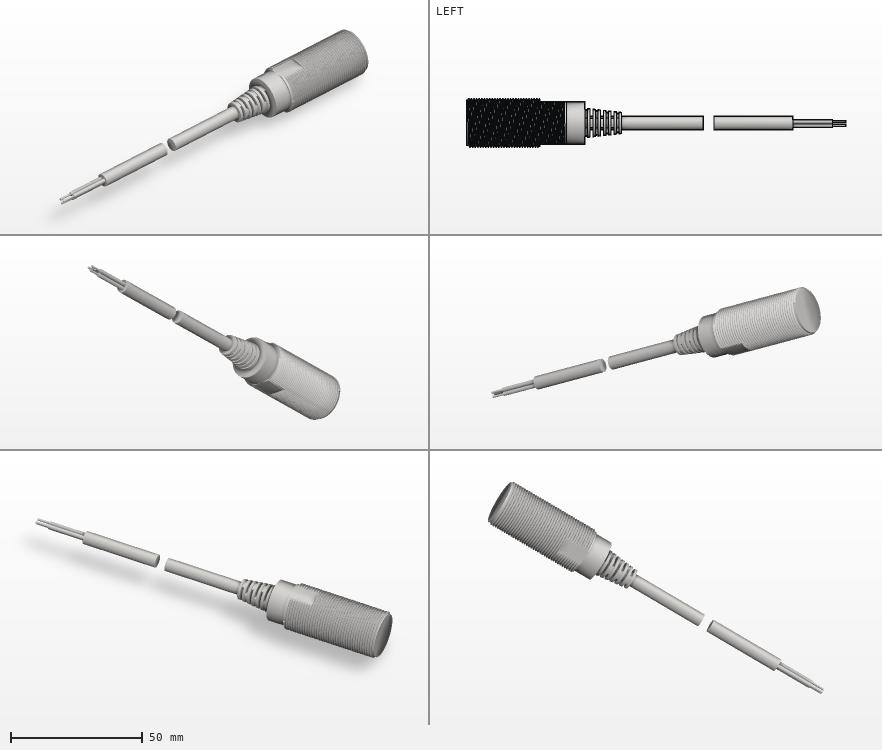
import cadquery as cq
import math

flat_start = 28.0
barrel_length = 38.0
collar_end = 45.0
front_cable_end = 90.0
rear_cable_start = 94.1
rear_cable_end = 124.1
insulation_end = 139.3
wire_end = 144.3

root_radius = 8.7
thread_height = 0.65
thread_radius = root_radius + thread_height
thread_pitch = 1.0
thread_base_width = 0.95
thread_crest_width = 0.06
thread_turns = math.floor((barrel_length - thread_base_width) / thread_pitch)
thread_embed = 0.07
collar_step = 0.5
collar_radius = root_radius - collar_step
flat_height = collar_radius

cable_radius = 2.6
boot_large_radius = 5.6
boot_small_radius = 4.0
boot_length = 14.0
boot_end = collar_end + boot_length
disc_count = 7
disc_pitch = boot_length / disc_count
gap_width = disc_pitch / 2
web_half_width = 1.7
web_inset = 0.5

wire_count = 3
first_wire_angle = -90
insulation_radius = 0.8
strand_radius = 0.5
wire_circle_radius = 0.94


def rod(radius, start, end, x=0, z=0):
    """Solid cylinder along -Y between two stations."""
    plane = cq.Workplane("XZ", origin=(x, -start, z))
    return plane.circle(radius).extrude(end - start)


def thread_ridge():
    """One continuous right-handed ridge wound around the barrel, swept along a helix of whole turns."""
    base_radius = root_radius - thread_embed
    half_base = thread_base_width / 2
    half_crest = thread_crest_width / 2
    one_turn = cq.Wire.makeHelix(thread_pitch, thread_pitch, root_radius).Edges()[0]
    turns = [one_turn.translate(cq.Vector(0, 0, i * thread_pitch)) for i in range(thread_turns)]
    helix = cq.Wire.assembleEdges(turns)
    ridge = (
        cq.Workplane("XZ")
        .polyline([
            (base_radius, -half_base),
            (thread_radius, -half_crest),
            (thread_radius, half_crest),
            (base_radius, half_base),
        ])
        .close()
        .sweep(cq.Workplane(obj=helix), isFrenet=True)
    )
    end_margin = (barrel_length - thread_turns * thread_pitch) / 2
    return ridge.rotate((0, 0, 0), (1, 0, 0), 90).translate((0, -end_margin, 0))


def wrench_flat_cutter(side):
    """Block outside one wrench flat; side is +1 for +Z and -1 for -Z."""
    depth = thread_radius
    length = barrel_length - flat_start
    block = cq.Workplane("XY").box(4 * thread_radius, length, depth)
    return block.translate((0, -flat_start - length / 2, side * (flat_height + depth / 2)))


def make_barrel():
    """Threaded barrel with two wrench flats at its cable end."""
    barrel = rod(root_radius, 0, barrel_length).union(thread_ridge(), clean=False)
    for side in (1, -1):
        barrel = barrel.cut(wrench_flat_cutter(side), clean=False)
    return barrel


def boot_cone(inset):
    """Tapered boot envelope, reduced in radius by inset."""
    return (
        cq.Workplane("XZ", origin=(0, -collar_end, 0))
        .circle(boot_large_radius - inset)
        .workplane(offset=boot_length)
        .circle(boot_small_radius - inset)
        .loft()
    )


def make_boot():
    """Tapered discs on a core, joined by pairs of webs that alternate between X and Z."""
    boot = rod(cable_radius, collar_end, boot_end)
    disc_envelope = boot_cone(0)
    web_envelope = boot_cone(web_inset)
    web_size = (2 * boot_large_radius, 2 * web_half_width)
    for i in range(disc_count):
        gap_start = collar_end + i * disc_pitch
        disc_start = gap_start + gap_width
        disc_end = gap_start + disc_pitch
        disc = disc_envelope.intersect(rod(2 * boot_large_radius, disc_start, disc_end))
        size_x, size_z = web_size if i % 2 else web_size[::-1]
        web_bar = cq.Workplane("XZ", origin=(0, -gap_start, 0)).rect(size_x, size_z).extrude(gap_width)
        boot = boot.union(disc).union(web_bar.intersect(web_envelope))
    return boot


def make_tail():
    """Rear collar, strain relief boot and the front length of cable."""
    tail = rod(collar_radius, barrel_length, collar_end).union(make_boot())
    return tail.union(rod(cable_radius, boot_end, front_cable_end))


def make_rear_cable():
    """Rear length of cable with its stripped wires."""
    cable = rod(cable_radius, rear_cable_start, rear_cable_end)
    for i in range(wire_count):
        angle = math.radians(first_wire_angle + i * 360 / wire_count)
        x = wire_circle_radius * math.cos(angle)
        z = wire_circle_radius * math.sin(angle)
        cable = cable.union(rod(insulation_radius, rear_cable_end, insulation_end, x, z))
        cable = cable.union(rod(strand_radius, insulation_end, wire_end, x, z))
    return cable


barrel = make_barrel()
tail = make_tail()
rear_cable = make_rear_cable()
result = cq.Compound.makeCompound([barrel.val(), tail.val(), rear_cable.val()])